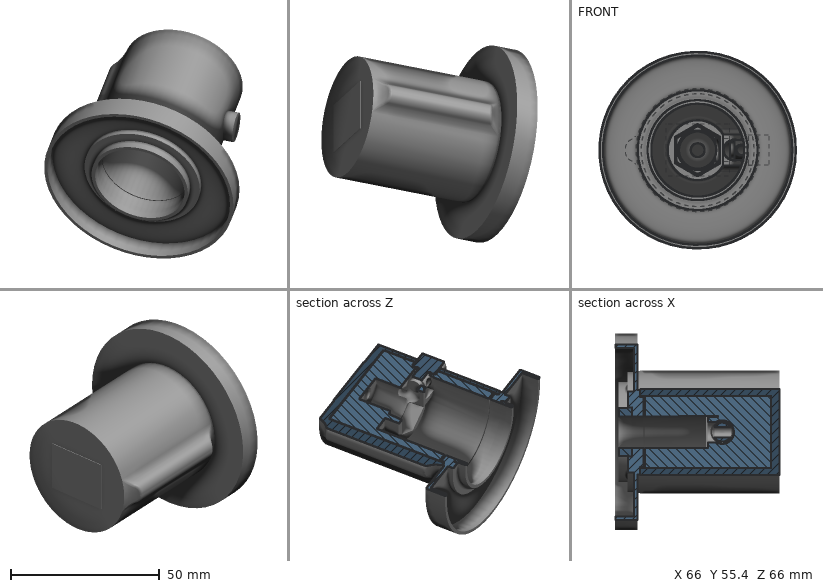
import cadquery as cq
import math


rose_diameter = 66.0
rose_cup_diameter = 63.6
rose_depth = 7.6
rose_plate_front = 6.2
step_diameter = 40.2
step_front = 4.2
neck_diameter = 41.0
neck_length = 0.75
spigot_diameter = 37.8
spigot_end = 9.6

bushing_diameter = 33.6
mouth_diameter = 31.2
bushing_front = 1.2
bushing_end = 5.6

housing_diameter = 41.4
housing_bore = 38.0
housing_front = rose_depth + neck_length
housing_end = 55.15
end_wall = 3.0
badge_width = 21.3
badge_height = 17.5
badge_thickness = 0.2

rib_top = 24.3
rib_crown_radius = 3.5
rib_crown_flat_half_width = 0.38
rib_crown_half_width = 3.5
rib_base_half_width = 6.4
rib_ramp_overrun = 0.1
ramp_length = 4.6
ramp_middle_radius = 22.3
ramp_middle_length = 3.1
rib_edge_radius = 1.1
rib_end_margin = 0.05

core_front = 9.95
core_bore = mouth_diameter
hub_diameter = 20.1
hub_front = 30.6
hex_flats_front = 15.15
hex_flats_floor = 14.15
countersink_diameter = 13.3
countersink_depth = 0.4
spindle_bore = 12.5
spindle_bore_end = 48.0
center_hole = 4.65

button_axis_y = 35.86
button_end = 23.9
button_head_diameter = 10.1
button_head_clearance_bore = 10.2
button_shoulder = 17.0
button_stem_diameter = 6.6
button_stem_start = 12.3
button_nose_diameter = 5.0
button_nose_start = 10.9
button_hole_x = 14.7
button_hole_diameter = 3.3
button_hole_countersink = 4.15
button_hole_countersink_depth = 0.9

passage_diameter = 7.7
passage_start = 6.05
boss_half_width = 5.2
boss_root_fillet = 1.9
boss_front_wall = 0.9
boss_start = 8.5
window_width = 6.75
window_center_x = 12.1
window_end = core_bore / 2

core_end = housing_end - end_wall
core_floor = button_axis_y
hex_floor = button_axis_y
boss_front = button_axis_y - passage_diameter / 2 - boss_front_wall


def rod_y(diameter, start, end):
    """Cylinder about the Y axis."""
    return cq.Workplane("XZ", origin=(0, start, 0)).circle(diameter / 2).extrude(start - end)


def rod_x(diameter, start, end):
    """Cylinder parallel to X on the button axis."""
    plane = cq.Workplane("YZ", origin=(start, button_axis_y, 0))
    return plane.circle(diameter / 2).extrude(end - start)


def cone_y(front_diameter, back_diameter, start, end, x=0):
    """Tapered plug parallel to Y."""
    front = cq.Workplane("XZ", origin=(x, start, 0)).circle(front_diameter / 2)
    return front.workplane(offset=start - end).circle(back_diameter / 2).loft(combine=True)


def hexagon_points(across_flats):
    """Hexagon corners with two corners on the Z axis."""
    corner_radius = across_flats / math.sqrt(3)
    angles = [math.radians(90 + 60 * corner) for corner in range(6)]
    return [(corner_radius * math.cos(a), corner_radius * math.sin(a)) for a in angles]


def make_rose():
    rose = rod_y(rose_diameter, 0, rose_depth)
    rose = rose.cut(rod_y(rose_cup_diameter, 0, rose_plate_front))
    rose = rose.union(rod_y(step_diameter, step_front, rose_depth))
    rose = rose.union(rod_y(neck_diameter, rose_depth, housing_front))
    rose = rose.union(rod_y(spigot_diameter, rose_depth, spigot_end))
    rose = rose.cut(rod_y(bushing_diameter, step_front, bushing_end))
    return rose.cut(rod_y(mouth_diameter, step_front, spigot_end))


def make_bushing():
    tube = rod_y(bushing_diameter, bushing_front, bushing_end)
    return tube.cut(rod_y(mouth_diameter, bushing_front, bushing_end))


def make_rib():
    """Rounded rib with concave flanks, run out at both ends by concave ramps."""
    root_x = -housing_bore / 2
    base_x = -math.sqrt((housing_diameter / 2) ** 2 - rib_base_half_width ** 2)
    crown_center_x = rib_crown_radius - rib_top
    crown_arc_width = rib_crown_half_width - rib_crown_flat_half_width
    crown_x = crown_center_x - math.sqrt(rib_crown_radius ** 2 - crown_arc_width ** 2)

    half_section = (
        cq.Workplane("XZ", origin=(0, housing_front, 0))
        .moveTo(root_x, 0)
        .lineTo(-rib_top, 0)
        .lineTo(-rib_top, rib_crown_flat_half_width)
        .radiusArc((crown_x, rib_crown_half_width), rib_crown_radius)
        .tangentArcPoint((base_x, rib_base_half_width), relative=False)
        .lineTo(root_x, rib_base_half_width)
        .close()
        .extrude(housing_front - housing_end)
    )
    bar = half_section.union(half_section.mirror("XY"))

    wall_radius = housing_diameter / 2
    ramp_top_radius = rib_top + rib_ramp_overrun
    back_y = housing_end - rib_end_margin
    front_y = housing_front + rib_end_margin
    middle_y = (front_y + back_y) / 2
    half_ramps = (
        cq.Workplane("XY")
        .moveTo(-ramp_top_radius, middle_y)
        .lineTo(-ramp_top_radius, back_y - ramp_length)
        .threePointArc((-ramp_middle_radius, back_y - ramp_middle_length), (-wall_radius, back_y))
        .lineTo(root_x, back_y)
        .lineTo(root_x, middle_y)
        .close()
        .revolve(360, (0, 0, 0), (0, 1, 0))
    )
    ramps = half_ramps.union(half_ramps.mirror("XZ", (0, middle_y, 0))).clean()
    rib = bar.intersect(ramps)
    return rib.edges("%BSPLINE").fillet(rib_edge_radius)


def make_badge():
    """Plain raised pad on the rear face."""
    pad_center = (0, housing_end + badge_thickness / 2, 0)
    return cq.Workplane("XY", origin=pad_center).box(badge_width, badge_thickness, badge_height)


def make_housing():
    housing = rod_y(housing_diameter, housing_front, housing_end)
    housing = housing.union(make_rib()).union(make_badge())
    housing = housing.cut(rod_y(housing_bore, housing_front, core_end))
    return housing.cut(rod_x(button_head_clearance_bore, button_shoulder, button_end))


def cut_spindle_socket(core):
    """Tapered hexagon socket, countersunk bore and small central hole."""
    socket = (
        cq.Workplane("XZ", origin=(0, hub_front, 0))
        .polyline(hexagon_points(hex_flats_front))
        .close()
        .workplane(offset=hub_front - hex_floor)
        .polyline(hexagon_points(hex_flats_floor))
        .close()
        .loft(combine=True)
    )
    countersink_end = hex_floor + countersink_depth
    core = core.cut(socket)
    core = core.cut(cone_y(countersink_diameter, spindle_bore, hex_floor, countersink_end))
    core = core.cut(rod_y(spindle_bore, hex_floor, spindle_bore_end))
    return core.cut(rod_y(center_hole, spindle_bore_end, core_end))


def make_boss():
    """Radial boss around the button passage, with concave fillets at the core floor."""
    liner_mid_radius = (core_bore + housing_bore) / 4
    fillet_top = core_floor - boss_root_fillet
    root_half_width = boss_half_width + boss_root_fillet
    section = (
        cq.Workplane("YZ")
        .moveTo(core_floor, -root_half_width)
        .radiusArc((fillet_top, -boss_half_width), -boss_root_fillet)
        .lineTo(boss_front, -boss_half_width)
        .lineTo(boss_front, boss_half_width)
        .lineTo(fillet_top, boss_half_width)
        .radiusArc((core_floor, root_half_width), -boss_root_fillet)
        .close()
    )
    return section.extrude(liner_mid_radius)


def make_window():
    """Round-ended slot from the boss front into the button passage."""
    depth = button_axis_y - boss_front
    plane = cq.Workplane("XZ", origin=(window_center_x, boss_front, 0))
    round_end = plane.circle(window_width / 2).extrude(-depth)
    length = window_end - window_center_x
    straight = plane.center(length / 2, 0).rect(length, window_width).extrude(-depth)
    return round_end.union(straight)


def make_core():
    core = rod_y(housing_bore, core_front, core_end)
    core = core.cut(rod_y(core_bore, core_front, core_floor))

    hub = rod_y(hub_diameter, hub_front, core_floor)
    trim_depth = boss_front - hub_front
    trim = cq.Workplane("XY").box(
        hub_diameter, trim_depth, hub_diameter, centered=(False, False, True)
    )
    hub = hub.cut(trim.translate((boss_start, hub_front, 0)))
    core = core.union(hub).union(make_boss())

    core = cut_spindle_socket(core)
    core = core.cut(rod_x(passage_diameter, passage_start, button_shoulder))
    core = core.cut(rod_x(button_head_clearance_bore, button_shoulder, button_end))
    return core.cut(make_window())


def make_button():
    button = rod_x(button_nose_diameter, button_nose_start, button_stem_start)
    button = button.union(rod_x(button_stem_diameter, button_stem_start, button_shoulder))
    button = button.union(rod_x(button_head_diameter, button_shoulder, button_end))

    stem_radius = button_stem_diameter / 2
    stem_front = button_axis_y - stem_radius
    stem_back = button_axis_y + stem_radius
    cross_hole = rod_y(button_hole_diameter, stem_front, stem_back).translate((button_hole_x, 0, 0))
    countersink_end = stem_front + button_hole_countersink_depth
    countersink = cone_y(
        button_hole_countersink, button_hole_diameter, stem_front, countersink_end, button_hole_x
    )
    return button.cut(cross_hole).cut(countersink)


rose = make_rose()
bushing = make_bushing()
housing = make_housing()
core = make_core()
button = make_button()

result = cq.Compound.makeCompound(
    [rose.val(), bushing.val(), housing.val(), core.val(), button.val()]
)